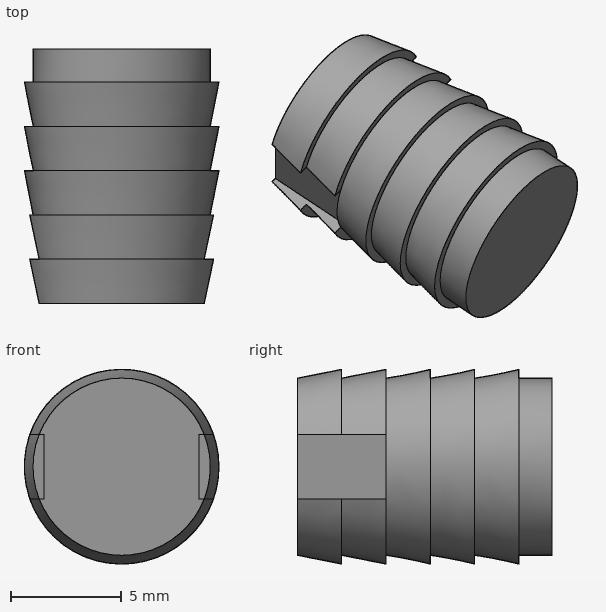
import cadquery as cq

total_length = 11.5
barb_count = 5
barb_length = 2.0
root_diameter = 8.0
barb_diameter = 8.8

notch_floor_spacing = 6.99
notch_height = 2.9
notch_length = 2 * barb_length

root_radius = root_diameter / 2
barb_radius = barb_diameter / 2


def make_barbed_body():
    """Revolve a sawtooth half profile, ending in a plain collar, about Y."""
    profile = cq.Workplane("XY").moveTo(0, 0).lineTo(root_radius, 0)
    for barb in range(1, barb_count + 1):
        barb_end = barb * barb_length
        profile = profile.lineTo(barb_radius, barb_end).lineTo(root_radius, barb_end)
    profile = profile.lineTo(root_radius, total_length).lineTo(0, total_length).close()
    return profile.revolve(360, (0, 0, 0), (0, 1, 0))


def make_side_notch(side):
    """Box that cuts one notch; side is +1 for +X or -1 for -X."""
    inner_x = side * notch_floor_spacing / 2
    outer_x = side * barb_diameter
    return cq.Workplane("XY").box(
        abs(outer_x - inner_x), notch_length, notch_height
    ).translate(((inner_x + outer_x) / 2, notch_length / 2, 0))


result = make_barbed_body()
for side in (-1, 1):
    result = result.cut(make_side_notch(side))